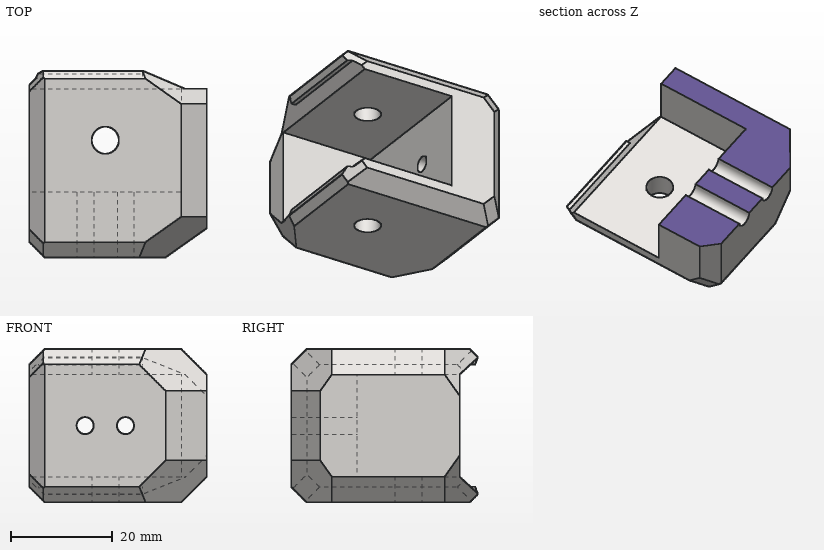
import cadquery as cq
import math

LENGTH_X = 35.0
LENGTH_Y = 36.8
HEIGHT = 30.2
HALF_HEIGHT = HEIGHT / 2

BLOCK_LENGTH_Y = 38.25
EDGE_CHAMFER = 3.05
RIGHT_CHAMFER = 5.05

LEFT_CORNER_REACH = 4.3
RIGHT_CORNER_REACH = 16.37
FRONT_RIGHT_REACH = 8.13
RIGHT_SLOPE = math.sqrt(2)

ARM_THICKNESS = 5.0
FRONT_WALL = 12.95
RIGHT_WALL = ARM_THICKNESS
RIGHT_WALL_END = 33.25
POCKET_X = LENGTH_X - RIGHT_WALL
POCKET_CENTER_X = POCKET_X / 2
POCKET_CENTER_Y = (FRONT_WALL + RIGHT_WALL_END) / 2

LIP_INNER_Y = 35.17
LIP_OUTER_Y = 36.25
LIP_DEPTH = 3.1
TIP_DEPTH = 1.7
LIP_END_X = 22.25

ARM_HOLE_DIAMETER = 5.3
FRONT_HOLE_DIAMETER = 3.3
FRONT_HOLE_SPACING = 7.95

CUTTER_SIZE = 110.37


def cut_corner(body, corner, normal, reach):
    """Remove material within reach of a corner, as a dot product with the inward normal."""
    inward = cq.Vector(*normal)
    origin = cq.Vector(*corner) + inward * (reach / inward.dot(inward))
    plane = cq.Plane(origin=origin.toTuple(), normal=(inward * -1).toTuple())
    return body.cut(cq.Workplane(plane).rect(CUTTER_SIZE, CUTTER_SIZE).extrude(CUTTER_SIZE))


def outer_block():
    body = cq.Workplane("XY").box(LENGTH_X, BLOCK_LENGTH_Y, HEIGHT, centered=(False, False, True))
    body = cut_corner(body, (0, 0, 0), (1, 1, 0), EDGE_CHAMFER)
    body = cut_corner(body, (LENGTH_X, 0, 0), (-1, RIGHT_SLOPE, 0), FRONT_RIGHT_REACH)
    for side in (-1, 1):
        z = side * HALF_HEIGHT
        body = cut_corner(body, (0, 0, z), (1, 0, -side), EDGE_CHAMFER)
        body = cut_corner(body, (LENGTH_X, 0, z), (-1, 0, -side), RIGHT_CHAMFER)
        for y, inward_y in ((0, 1), (BLOCK_LENGTH_Y, -1)):
            left = (0, y, z)
            right = (LENGTH_X, y, z)
            body = cut_corner(body, left, (0, inward_y, -side), EDGE_CHAMFER)
            body = cut_corner(body, left, (2, inward_y, -side), 2 * LEFT_CORNER_REACH)
            body = cut_corner(body, right, (-1, RIGHT_SLOPE * inward_y, -side), RIGHT_CORNER_REACH)
    return body


def side_profile(lip_points, length_x):
    """Extruded side profile; lip_points lie between the tip and the inner face of the upper arm."""
    tip = (LENGTH_Y, HALF_HEIGHT - TIP_DEPTH)
    wall_corner = (RIGHT_WALL_END, HALF_HEIGHT - ARM_THICKNESS)
    upper_back = [(LENGTH_Y, HALF_HEIGHT), tip] + lip_points + [wall_corner]
    lower_back = [(y, -z) for y, z in reversed(upper_back)]
    outline = [(0, HALF_HEIGHT)] + upper_back + lower_back + [(0, -HALF_HEIGHT)]
    return cq.Workplane("YZ").polyline(outline).close().extrude(length_x)


def trimmed_back():
    """Bevelled arm ends along the whole part, thickened by a lip up to LIP_END_X."""
    lip_z = HALF_HEIGHT - LIP_DEPTH
    lip_points = [(LIP_OUTER_Y, lip_z), (LIP_INNER_Y, lip_z)]
    return side_profile([], LENGTH_X).union(side_profile(lip_points, LIP_END_X))


def pocket():
    return cq.Workplane("XY").box(
        POCKET_X,
        BLOCK_LENGTH_Y - FRONT_WALL,
        HEIGHT - 2 * ARM_THICKNESS,
        centered=(False, False, True),
    ).translate((0, FRONT_WALL, 0))


def arm_holes():
    """One vertical hole through both arms, centred on the pocket."""
    return (
        cq.Workplane("XY", origin=(POCKET_CENTER_X, POCKET_CENTER_Y, -HALF_HEIGHT))
        .circle(ARM_HOLE_DIAMETER / 2)
        .extrude(HEIGHT)
    )


def front_holes():
    """Two holes through the front wall into the pocket."""
    return (
        cq.Workplane("XZ", origin=(POCKET_CENTER_X, 0, 0))
        .rarray(FRONT_HOLE_SPACING, 0.35, 2, 1)
        .circle(FRONT_HOLE_DIAMETER / 2)
        .extrude(-FRONT_WALL)
    )


result = outer_block().intersect(trimmed_back()).cut(pocket()).cut(arm_holes()).cut(front_holes())